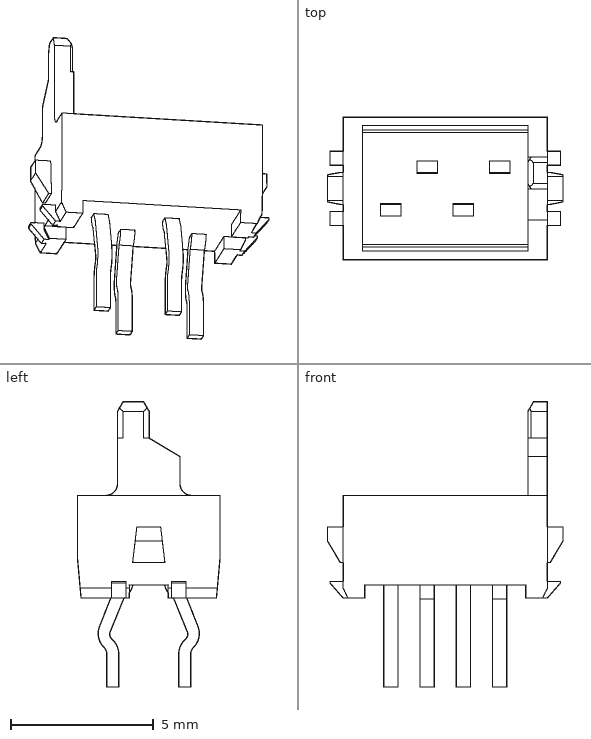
import cadquery as cq
import math


BODY_LENGTH = 7.16
BODY_WIDTH = 5.0
BODY_TOP = 3.6
TAPER_TOP = 1.39
BASE_WIDTH = 4.75
HALF_LENGTH = BODY_LENGTH / 2

FOOT_HEIGHT = 0.45
CROSS_CHANNEL_LENGTH = 5.63
LONG_CHANNEL_WIDTH = 1.35
FOOT_CHAMFER_HEIGHT = 0.35
FOOT_CHAMFER_INSET = 0.17

BEVEL_ANGLE = math.radians(30)

CAVITY_LENGTH = 5.78
CAVITY_MOUTH_WIDTH = 4.4
CAVITY_NECK_WIDTH = 4.1
CAVITY_FLOOR_WIDTH = 3.92
CAVITY_FLOOR = 1.75
MOUTH_BEVEL_DEPTH = ((CAVITY_MOUTH_WIDTH - CAVITY_NECK_WIDTH) / 2
                     / math.tan(BEVEL_ANGLE))

CLIP_SPAN = 8.26
CLIP_TOP = 2.49
CLIP_KNEE = 2.0
CLIP_BOTTOM = 1.245
CLIP_BOTTOM_REACH = 0.1
CLIP_TOP_WIDTH = 0.836
CLIP_BOTTOM_WIDTH = 1.13
NIB_SPAN = 8.08
NIB_TOP = 0.588
NIB_LIP = 0.06
NIB_WIDTH = 0.5
NIB_OFFSET = 1.055
END_ROOT = 0.3

POST_INNER_X = CAVITY_LENGTH / 2
POST_HALF_WIDTH = 1.1
POST_ROOT_RADIUS = 0.4
POST_SLOPE_BOTTOM = 4.957
POST_SHOULDER = 5.6
POST_TOP = 6.88
TIP_INNER_Y = -0.02
TIP_BEVEL_INSET = 0.2
TIP_BEVEL_HEIGHT = TIP_BEVEL_INSET / math.tan(BEVEL_ANGLE)
TIP_CORNER_Y = 0.2
TIP_CORNER_X = TIP_CORNER_Y * math.tan(BEVEL_ANGLE)

OVERALL_HEIGHT = 10.0
CONTACT_PITCH = 1.27
CONTACT_COUNT = 4
CONTACT_TIP = BODY_TOP
CONTACT_THICKNESS = 0.43
CONTACT_OFFSET = 0.745
PIN_WIDTH = 0.72
PIN_TIP_THICKNESS = 0.4
LEAD_WIDTH = 0.51
LEAD_BOTTOM = POST_TOP - OVERALL_HEIGHT
LEAD_OFFSET = 1.26
LEAD_START = 0.71

KICK_OUTER_MIDDLE = (0.99, 0.53)
KICK_OUTER_END = (1.07, 0.38)
KICK_INNER_MIDDLE = (0.65, 0.22)
KNEE_OUTER = (1.297, 0.10)
KNEE_INNER = (0.876, -0.03)
ELBOW_OUTER_START = (1.73, -1.0)
ELBOW_OUTER_MIDDLE = (1.74, -1.46)
ELBOW_OUTER_END = (1.60, -1.70)
ELBOW_INNER_START = (1.33, -1.14)
ELBOW_INNER_MIDDLE = (1.36, -1.30)
ELBOW_INNER_END = (1.27, -1.45)
RETURN_OUTER_MIDDLE = (1.51, -1.81)
RETURN_INNER_MIDDLE = (1.107, -1.68)
TAIL_TOP = -1.94


def extrude_along_x(outline, start, length):
    """Extrude a closed (Y, Z) outline along +X."""
    return outline.extrude(length).translate((start, 0, 0))


def make_body():
    outline = cq.Workplane("YZ").polyline([
        (-BASE_WIDTH / 2, 0),
        (BASE_WIDTH / 2, 0),
        (BODY_WIDTH / 2, TAPER_TOP),
        (BODY_WIDTH / 2, BODY_TOP),
        (-BODY_WIDTH / 2, BODY_TOP),
        (-BODY_WIDTH / 2, TAPER_TOP),
    ]).close()
    body = extrude_along_x(outline, -HALF_LENGTH, BODY_LENGTH)

    foot_ends = cq.Workplane("XZ").polyline([
        (-HALF_LENGTH, BODY_TOP),
        (-HALF_LENGTH, FOOT_CHAMFER_HEIGHT),
        (-HALF_LENGTH + FOOT_CHAMFER_INSET, 0),
        (HALF_LENGTH - FOOT_CHAMFER_INSET, 0),
        (HALF_LENGTH, FOOT_CHAMFER_HEIGHT),
        (HALF_LENGTH, BODY_TOP),
    ]).close().extrude(BODY_WIDTH / 2, both=True)
    return body.intersect(foot_ends)


def make_channels():
    upright = (True, True, False)
    across = cq.Workplane("XY").box(CROSS_CHANNEL_LENGTH, BODY_WIDTH, FOOT_HEIGHT, centered=upright)
    along = cq.Workplane("XY").box(BODY_LENGTH, LONG_CHANNEL_WIDTH, FOOT_HEIGHT, centered=upright)
    return across.union(along)


def make_cavity():
    neck_z = BODY_TOP - MOUTH_BEVEL_DEPTH
    outline = cq.Workplane("YZ").polyline([
        (-CAVITY_FLOOR_WIDTH / 2, CAVITY_FLOOR),
        (CAVITY_FLOOR_WIDTH / 2, CAVITY_FLOOR),
        (CAVITY_NECK_WIDTH / 2, neck_z),
        (CAVITY_MOUTH_WIDTH / 2, BODY_TOP),
        (-CAVITY_MOUTH_WIDTH / 2, BODY_TOP),
        (-CAVITY_NECK_WIDTH / 2, neck_z),
    ]).close()
    return extrude_along_x(outline, -CAVITY_LENGTH / 2, CAVITY_LENGTH)


def make_clip():
    """Snap wedge on the +X end, wider towards its bottom."""
    root_x = HALF_LENGTH - END_ROOT
    side = cq.Workplane("XZ").polyline([
        (root_x, CLIP_TOP),
        (CLIP_SPAN / 2, CLIP_TOP),
        (CLIP_SPAN / 2, CLIP_KNEE),
        (HALF_LENGTH + CLIP_BOTTOM_REACH, CLIP_BOTTOM),
        (root_x, CLIP_BOTTOM),
    ]).close().extrude(CLIP_BOTTOM_WIDTH, both=True)
    face = cq.Workplane("YZ").polyline([
        (-CLIP_BOTTOM_WIDTH / 2, CLIP_BOTTOM),
        (CLIP_BOTTOM_WIDTH / 2, CLIP_BOTTOM),
        (CLIP_TOP_WIDTH / 2, CLIP_TOP),
        (-CLIP_TOP_WIDTH / 2, CLIP_TOP),
    ]).close()
    return side.intersect(extrude_along_x(face, 0, CLIP_SPAN))


def make_nib():
    """Small undercut nib at the foot of the +X end."""
    root_x = HALF_LENGTH - END_ROOT
    return cq.Workplane("XZ").polyline([
        (root_x, NIB_TOP),
        (NIB_SPAN / 2, NIB_TOP),
        (NIB_SPAN / 2, NIB_TOP - NIB_LIP),
        (HALF_LENGTH, 0),
        (root_x, 0),
    ]).close().extrude(NIB_WIDTH / 2, both=True)


def make_end_features():
    nib = make_nib()
    features = make_clip()
    for side in (-1, 1):
        features = features.union(nib.translate((0, side * NIB_OFFSET, 0)))
    return features.union(features.mirror("YZ"))


def make_post():
    """Latch post rising flush from the +X end wall."""
    thickness = HALF_LENGTH - POST_INNER_X
    root_half_width = POST_HALF_WIDTH + POST_ROOT_RADIUS
    root_top = BODY_TOP + POST_ROOT_RADIUS
    arc_inset = POST_ROOT_RADIUS * (1 - math.sqrt(0.5))
    outline = (
        cq.Workplane("YZ")
        .moveTo(-root_half_width, BODY_TOP)
        .lineTo(root_half_width, BODY_TOP)
        .threePointArc((POST_HALF_WIDTH + arc_inset, BODY_TOP + arc_inset), (POST_HALF_WIDTH, root_top))
        .lineTo(POST_HALF_WIDTH, POST_SHOULDER)
        .lineTo(TIP_INNER_Y, POST_SHOULDER)
        .lineTo(-POST_HALF_WIDTH, POST_SLOPE_BOTTOM)
        .lineTo(-POST_HALF_WIDTH, root_top)
        .threePointArc((-POST_HALF_WIDTH - arc_inset, BODY_TOP + arc_inset), (-root_half_width, BODY_TOP))
        .close()
    )
    return extrude_along_x(outline, POST_INNER_X, thickness).union(make_post_tip())


def make_post_tip():
    """Post tip, bevelled on every side but its outer face."""
    thickness = HALF_LENGTH - POST_INNER_X
    bevel_z = POST_TOP - TIP_BEVEL_HEIGHT
    plan = cq.Workplane("XY").workplane(offset=POST_SHOULDER).polyline([
        (HALF_LENGTH, TIP_INNER_Y),
        (HALF_LENGTH, POST_HALF_WIDTH),
        (POST_INNER_X + TIP_CORNER_X, POST_HALF_WIDTH),
        (POST_INNER_X, POST_HALF_WIDTH - TIP_CORNER_Y),
        (POST_INNER_X, TIP_INNER_Y + TIP_CORNER_Y),
        (POST_INNER_X + TIP_CORNER_X, TIP_INNER_Y),
    ]).close().extrude(POST_TOP - POST_SHOULDER)
    side = cq.Workplane("XZ").polyline([
        (POST_INNER_X, POST_SHOULDER),
        (HALF_LENGTH, POST_SHOULDER),
        (HALF_LENGTH, POST_TOP),
        (POST_INNER_X + TIP_BEVEL_INSET, POST_TOP),
        (POST_INNER_X, bevel_z),
    ]).close().extrude(POST_HALF_WIDTH, both=True)
    face = cq.Workplane("YZ").polyline([
        (TIP_INNER_Y, POST_SHOULDER),
        (POST_HALF_WIDTH, POST_SHOULDER),
        (POST_HALF_WIDTH, bevel_z),
        (POST_HALF_WIDTH - TIP_BEVEL_INSET, POST_TOP),
        (TIP_INNER_Y + TIP_BEVEL_INSET, POST_TOP),
        (TIP_INNER_Y, bevel_z),
    ]).close()
    return plan.intersect(side).intersect(extrude_along_x(face, POST_INNER_X, thickness))


def make_contact():
    """Contact on the +Y row: straight mating pin above, kinked solder lead below."""
    pin_inner = CONTACT_OFFSET - CONTACT_THICKNESS / 2
    pin_outer = CONTACT_OFFSET + CONTACT_THICKNESS / 2
    tail_inner = LEAD_OFFSET - CONTACT_THICKNESS / 2
    tail_outer = LEAD_OFFSET + CONTACT_THICKNESS / 2

    pin_bottom = (LEAD_START + CAVITY_FLOOR) / 2
    pin = cq.Workplane("YZ").polyline([
        (pin_inner, pin_bottom),
        (pin_outer, pin_bottom),
        (pin_outer, CONTACT_TIP),
        (pin_outer - PIN_TIP_THICKNESS, CONTACT_TIP),
        (pin_inner, CAVITY_FLOOR),
    ]).close().extrude(PIN_WIDTH / 2, both=True)

    tail_inner_top = (tail_inner, TAIL_TOP)
    tail_outer_top = (tail_outer, TAIL_TOP)
    lead = (
        cq.Workplane("YZ")
        .moveTo(pin_outer, pin_bottom)
        .lineTo(pin_outer, LEAD_START)
        .threePointArc(KICK_OUTER_MIDDLE, KICK_OUTER_END)
        .lineTo(*KNEE_OUTER)
        .lineTo(*ELBOW_OUTER_START)
        .threePointArc(ELBOW_OUTER_MIDDLE, ELBOW_OUTER_END)
        .threePointArc(RETURN_OUTER_MIDDLE, tail_outer_top)
        .lineTo(tail_outer, LEAD_BOTTOM)
        .lineTo(tail_inner, LEAD_BOTTOM)
        .lineTo(*tail_inner_top)
        .threePointArc(RETURN_INNER_MIDDLE, ELBOW_INNER_END)
        .threePointArc(ELBOW_INNER_MIDDLE, ELBOW_INNER_START)
        .lineTo(*KNEE_INNER)
        .threePointArc(KICK_INNER_MIDDLE, (pin_inner, LEAD_START))
        .lineTo(pin_inner, pin_bottom)
        .close()
        .extrude(LEAD_WIDTH / 2, both=True)
    )
    return pin.union(lead)


def add_contacts(part):
    """Contacts alternate between the two rows along X."""
    back_contact = make_contact()
    front_contact = back_contact.mirror("XZ")
    for index in range(CONTACT_COUNT):
        x = (index - (CONTACT_COUNT - 1) / 2) * CONTACT_PITCH
        contact = front_contact if index % 2 == 0 else back_contact
        part = part.union(contact.translate((x, 0, 0)))
    return part


housing = make_body().union(make_end_features())
housing = housing.cut(make_channels()).cut(make_cavity()).union(make_post())
result = add_contacts(housing)